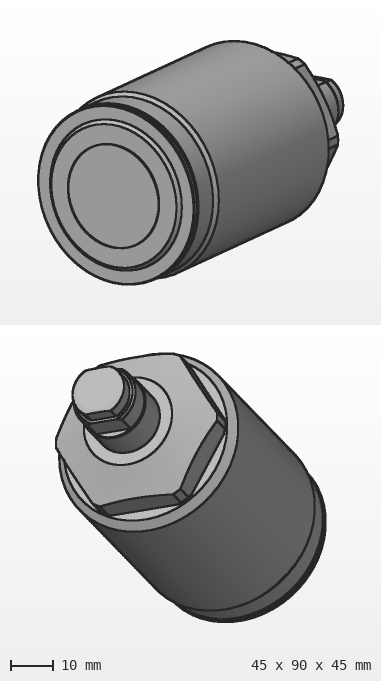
import cadquery as cq
import math

TOTAL_LENGTH = 90.0

SENSING_DISC_RADIUS = 12.5
SENSING_DISC_STEP = 0.3
BOSS_RADIUS = 18.2
BOSS_CHAMFER = 0.9
CAP_FACE_Y = 1.2
CAP_REAR_Y = 2.8
SEAM_CHAMFER = 0.3
CAP_FACE_CHAMFER = 0.2

BODY_RADIUS = 22.5
NECK_RADIUS = 21.6
SHOULDER_Y = 9.4
SHOULDER_LENGTH = 1.1
BODY_REAR_Y = 60.1
BODY_REAR_CHAMFER = 2.0

HEX_ACROSS_FLATS = 36.1
HEX_CORNER_RADIUS = 20.2
HEX_BASE_RADIUS = 19.8
HEX_BASE_HEIGHT = 0.45
HEX_REAR_Y = 71.1
HEX_REAR_RADIUS = 11.1
HEX_BEVEL_ANGLE = 30.0

STUB_RADIUS = 8.0
STUB_REAR_Y = 80.1
STUB_CHAMFER = 0.2

COLLAR_RADIUS = 7.7
COLLAR_FLAT_DISTANCE = 12.9
COLLAR_CHAMFER = 0.5
COLLAR_REAR_Y = 86.1
TIP_RADIUS = 6.5
TIP_FLAT_DISTANCE = 11.3
TIP_END_RADIUS = 5.1
TIP_BEVEL_LENGTH = 0.4


def revolve_about_y(profile):
    """Revolve a profile of (radius, y) points that starts and ends on the Y axis."""
    return cq.Workplane("XY").polyline(profile).close().revolve(360, (0, 0, 0), (0, 1, 0))


def plane_at(y):
    """Workplane normal to the axis, facing toward the connector."""
    return cq.Workplane(cq.Plane(origin=(0, y, 0), xDir=(1, 0, 0), normal=(0, 1, 0)))


def make_cap():
    boss_y = SENSING_DISC_STEP
    return revolve_about_y([
        (0, 0),
        (SENSING_DISC_RADIUS, 0),
        (SENSING_DISC_RADIUS, boss_y),
        (BOSS_RADIUS - BOSS_CHAMFER, boss_y),
        (BOSS_RADIUS, boss_y + BOSS_CHAMFER),
        (NECK_RADIUS - CAP_FACE_CHAMFER, CAP_FACE_Y),
        (NECK_RADIUS, CAP_FACE_Y + CAP_FACE_CHAMFER),
        (NECK_RADIUS, CAP_REAR_Y - SEAM_CHAMFER),
        (NECK_RADIUS - SEAM_CHAMFER, CAP_REAR_Y),
        (0, CAP_REAR_Y),
    ])


def make_housing_barrel():
    return revolve_about_y([
        (0, CAP_REAR_Y),
        (NECK_RADIUS - SEAM_CHAMFER, CAP_REAR_Y),
        (NECK_RADIUS, CAP_REAR_Y + SEAM_CHAMFER),
        (NECK_RADIUS, SHOULDER_Y),
        (BODY_RADIUS, SHOULDER_Y + SHOULDER_LENGTH),
        (BODY_RADIUS, BODY_REAR_Y - BODY_REAR_CHAMFER),
        (BODY_RADIUS - BODY_REAR_CHAMFER, BODY_REAR_Y),
        (0, BODY_REAR_Y),
    ])


def make_hexagon():
    """Hexagonal prism with trimmed corners, chamfered base corners and a conical rear bevel."""
    across_corners = HEX_ACROSS_FLATS / math.cos(math.pi / 6)
    prism = plane_at(BODY_REAR_Y).polygon(6, across_corners).extrude(HEX_REAR_Y - BODY_REAR_Y)
    bevel_length = (HEX_CORNER_RADIUS - HEX_REAR_RADIUS) * math.tan(math.radians(HEX_BEVEL_ANGLE))
    base_top_y = BODY_REAR_Y + HEX_BASE_HEIGHT
    envelope = revolve_about_y([
        (0, BODY_REAR_Y),
        (HEX_BASE_RADIUS, BODY_REAR_Y),
        (HEX_CORNER_RADIUS, base_top_y),
        (HEX_CORNER_RADIUS, HEX_REAR_Y - bevel_length),
        (HEX_REAR_RADIUS, HEX_REAR_Y),
        (0, HEX_REAR_Y),
    ])
    return prism.intersect(envelope)


def make_stub():
    stub = plane_at(HEX_REAR_Y).circle(STUB_RADIUS).extrude(STUB_REAR_Y - HEX_REAR_Y)
    return stub.faces(">Y").edges().chamfer(STUB_CHAMFER)


def make_housing():
    return make_housing_barrel().union(make_hexagon()).union(make_stub())


def trim_to_flats(stage, flat_distance):
    """Cut a round stage to two flats facing +Z and -Z."""
    slab = cq.Workplane("XY").box(2 * BODY_RADIUS, 2 * TOTAL_LENGTH, flat_distance)
    return stage.intersect(slab)


def make_connector():
    collar = revolve_about_y([
        (0, STUB_REAR_Y),
        (COLLAR_RADIUS, STUB_REAR_Y),
        (COLLAR_RADIUS, COLLAR_REAR_Y - COLLAR_CHAMFER),
        (COLLAR_RADIUS - COLLAR_CHAMFER, COLLAR_REAR_Y),
        (0, COLLAR_REAR_Y),
    ])
    tip = revolve_about_y([
        (0, COLLAR_REAR_Y),
        (TIP_RADIUS, COLLAR_REAR_Y),
        (TIP_RADIUS, TOTAL_LENGTH - TIP_BEVEL_LENGTH),
        (TIP_END_RADIUS, TOTAL_LENGTH),
        (0, TOTAL_LENGTH),
    ])
    collar = trim_to_flats(collar, COLLAR_FLAT_DISTANCE)
    return collar.union(trim_to_flats(tip, TIP_FLAT_DISTANCE))


cap = make_cap()
housing = make_housing()
connector = make_connector()

result = cq.Compound.makeCompound([*cap.solids().vals(), *housing.solids().vals(), *connector.solids().vals()])